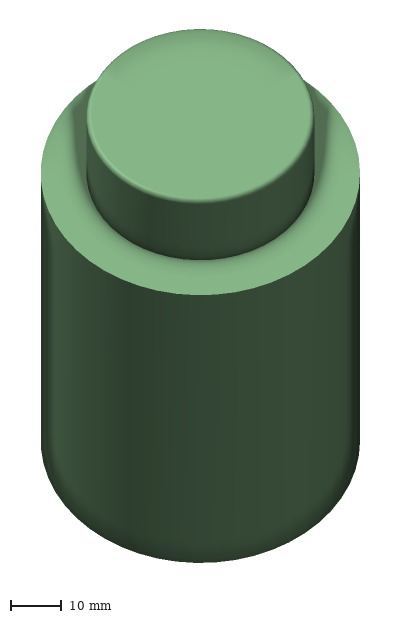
import cadquery as cq

total_height = 100.0
body_diameter = 63.0
neck_diameter = 45.0
neck_height = 18.0
top_edge_radius = 1.0

body_height = total_height - neck_height

body = cq.Workplane("XY").circle(body_diameter / 2).extrude(body_height)

neck = (
    cq.Workplane("XY")
    .workplane(offset=body_height)
    .circle(neck_diameter / 2)
    .extrude(neck_height)
    .faces(">Z")
    .edges()
    .fillet(top_edge_radius)
)

result = body.union(neck)